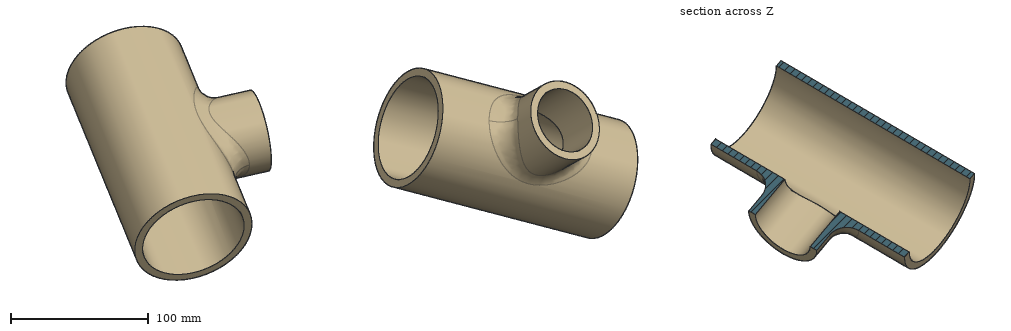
import cadquery as cq

run_length = 171.4
run_diameter = 89.0
branch_diameter = 60.3
wall = 6.0
branch_reach = 76.1
crotch_radius = 14.9

run_bore = run_diameter - 2 * wall
branch_bore = branch_diameter - 2 * wall


def run_cylinder(diameter):
    """Cylinder along X, centred on the origin."""
    return cq.Workplane("YZ").circle(diameter / 2).extrude(run_length / 2, both=True)


def branch_cylinder(diameter):
    """Cylinder from the run axis out to the branch end at +Y."""
    return cq.Workplane("XZ").circle(diameter / 2).extrude(-branch_reach)


junction_reach = branch_diameter / 2 + crotch_radius
junction_zone = cq.selectors.BoxSelector(
    (-junction_reach, 0, -run_diameter / 2),
    (junction_reach, run_diameter / 2, run_diameter / 2),
)
body = run_cylinder(run_diameter).union(branch_cylinder(branch_diameter))
body = body.edges(junction_zone).edges("not %LINE").fillet(crotch_radius)

result = body.cut(run_cylinder(run_bore)).cut(branch_cylinder(branch_bore))